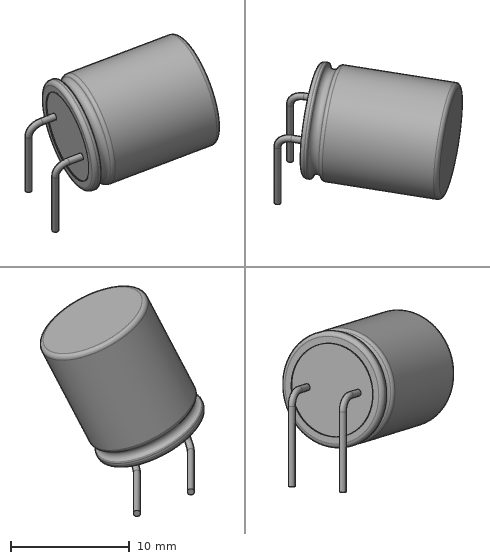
import cadquery as cq
import math

can_diameter = 10.0
can_length = 12.0
can_edge_radius = 0.4

groove_diameter = 9.0
groove_centre_y = 1.2
groove_radius = 0.5
groove_near_round = 0.1
groove_far_round = 0.4

recess_diameter = 8.0
recess_depth = 0.1

lead_diameter = 0.6
lead_pitch = 5.0
lead_straight_length = 1.2
lead_bend_radius = 1.2
lead_drop = 8.1

can_radius = can_diameter / 2


def groove_lip(side, lip_radius):
    """Wall end, middle and groove end of the round at one groove lip, as (r, y) points.

    The round is tangent to the can wall and to the groove arc. The side is -1 for
    the lip nearer the leads and 1 for the other lip.
    """
    groove_centre_r = groove_diameter / 2 + groove_radius
    lip_centre_r = can_radius - lip_radius
    centre_distance = groove_radius + lip_radius
    offset_r = lip_centre_r - groove_centre_r
    offset_y = side * math.sqrt(centre_distance**2 - offset_r**2)
    lip_centre_y = groove_centre_y + offset_y

    groove_share = groove_radius / centre_distance
    groove_end = (
        groove_centre_r + groove_share * offset_r,
        groove_centre_y + groove_share * offset_y,
    )
    half_angle = math.atan2(groove_end[1] - lip_centre_y, groove_end[0] - lip_centre_r) / 2
    middle = (
        lip_centre_r + lip_radius * math.cos(half_angle),
        lip_centre_y + lip_radius * math.sin(half_angle),
    )
    wall_end = (can_radius, lip_centre_y)
    return wall_end, middle, groove_end


def make_can():
    """Revolve the half outline of the can, drawn as radius against Y."""
    near_wall, near_middle, near_joint = groove_lip(-1, groove_near_round)
    far_wall, far_middle, far_joint = groove_lip(1, groove_far_round)
    profile = (
        cq.Workplane("XY")
        .lineTo(can_radius - can_edge_radius, 0)
        .radiusArc((can_radius, can_edge_radius), -can_edge_radius)
        .lineTo(*near_wall)
        .threePointArc(near_middle, near_joint)
        .threePointArc((groove_diameter / 2, groove_centre_y), far_joint)
        .threePointArc(far_middle, far_wall)
        .lineTo(can_radius, can_length - can_edge_radius)
        .radiusArc((can_radius - can_edge_radius, can_length), -can_edge_radius)
        .lineTo(0, can_length)
        .close()
    )
    return profile.revolve(360, (0, 0, 0), (0, 1, 0))


def make_recess():
    return cq.Workplane("XZ").circle(recess_diameter / 2).extrude(-recess_depth)


def make_lead(x):
    bend_start_y = -lead_straight_length
    drop_y = bend_start_y - lead_bend_radius
    bend_centre_z = -lead_bend_radius
    bend_middle = lead_bend_radius * math.sqrt(0.5)
    path = (
        cq.Workplane("YZ", origin=(x, 0, 0))
        .moveTo(recess_depth, 0)
        .lineTo(bend_start_y, 0)
        .threePointArc(
            (bend_start_y - bend_middle, bend_centre_z + bend_middle),
            (drop_y, bend_centre_z),
        )
        .lineTo(drop_y, -lead_drop)
    )
    section = cq.Workplane("XZ", origin=(x, recess_depth, 0)).circle(lead_diameter / 2)
    return section.sweep(path)


result = make_can().cut(make_recess())
for side in (-1, 1):
    result = result.union(make_lead(side * lead_pitch / 2))